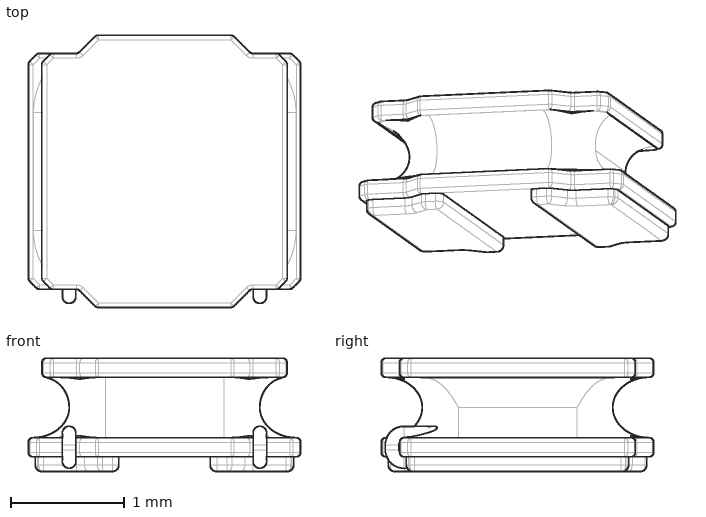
import cadquery as cq
import math

core_half = 1.2
top_half_x = 1.08
total_height = 1.0
flange_thickness = 0.17
pad_thickness = 0.13

shoulder_y = 1.04
tongue_half_x = 0.6
corner_chamfer = 0.082
flange_round = 0.04

neck_half = 0.84
neck_corner_center = 0.52
flare_width = 0.317
top_flare_width_x = 0.24

pad_inset = 0.06
pad_inner_x = 0.4
pad_round = 0.06

wire_diameter = 0.12
wire_x = 0.84
wire_leg_y = 1.105
wire_half_rise = 0.125
wire_bend = 0.1
wire_upper_end_y = 0.6
wire_lower_end_y = 0.912

notch_half_x = tongue_half_x + core_half - shoulder_y
bottom_flange_top = pad_thickness + flange_thickness
top_flange_bottom = total_height - flange_thickness
neck_middle = (bottom_flange_top + top_flange_bottom) / 2
flare_height = (top_flange_bottom - bottom_flange_top) / 2
flare_outer = neck_half + flare_width


def flange_outline(half_x, inset=0.0):
    """Corner points of a flange border, moved inward by `inset`."""
    slant_shift = inset * math.tan(math.radians(45 / 2))
    tongue_x = tongue_half_x - slant_shift
    notch_x = notch_half_x - slant_shift
    quarter = [
        (half_x - inset, shoulder_y - corner_chamfer - slant_shift),
        (half_x - corner_chamfer - slant_shift, shoulder_y - inset),
        (notch_x, shoulder_y - inset),
        (tongue_x, core_half - inset),
    ]
    back = quarter + [(-x, y) for x, y in reversed(quarter)]
    return back + [(-x, -y) for x, y in back]


def prism(points, bottom, height):
    """Upright block with the given corner points."""
    return cq.Workplane("XY").workplane(offset=bottom).polyline(points).close().extrude(height)


def flange(half_x, bottom):
    """Flange plate with all its edges rounded."""
    plate = prism(flange_outline(half_x), bottom, flange_thickness)
    return plate.edges().fillet(flange_round)


def neck_section(inner, outer):
    """Section of one side of the neck: a slab whose outer end is hollowed by a half ellipse."""
    return (
        cq.Workplane("XZ")
        .moveTo(inner, top_flange_bottom)
        .lineTo(outer, top_flange_bottom)
        .ellipseArc(flare_width, flare_height, 90, 270)
        .lineTo(inner, bottom_flange_top)
        .close()
    )


def flared_neck():
    """Rounded square waist that flares out toward both flanges on all sides."""
    side_length = 2 * neck_corner_center
    side = neck_section(neck_corner_center, flare_outer).extrude(side_length)
    side = side.translate((0, neck_corner_center, 0))
    corner_radius = flare_outer - neck_corner_center
    corner = (
        neck_section(0, corner_radius)
        .revolve(90, (0, 0), (0, 1))
        .translate((neck_corner_center, neck_corner_center, 0))
    )
    middle = cq.Workplane("XY").box(side_length, side_length, 2 * flare_height)
    neck = middle.translate((0, 0, neck_middle))
    for quarter_turn in range(4):
        angle = 90 * quarter_turn
        neck = neck.union(side.rotate((0, 0, 0), (0, 0, 1), angle))
        neck = neck.union(corner.rotate((0, 0, 0), (0, 0, 1), angle))
    return neck


def top_flare_limit():
    """Bar along Y above the neck middle, with the narrower flare on its two X sides."""
    top_reach = neck_half + top_flare_width_x
    return (
        cq.Workplane("XZ", origin=(0, core_half, 0))
        .moveTo(top_reach, top_flange_bottom)
        .ellipseArc(top_flare_width_x, flare_height, 90, 180)
        .lineTo(-neck_half, neck_middle)
        .ellipseArc(top_flare_width_x, flare_height, 0, 90)
        .close()
        .extrude(2 * core_half)
    )


def bare_core():
    """Both flanges and the neck, whose flare stays on the flat faces of the flanges."""
    lower_limit = prism(flange_outline(core_half, flange_round), bottom_flange_top, flare_height)
    upper_limit = prism(flange_outline(top_half_x, flange_round), neck_middle, flare_height)
    upper_limit = upper_limit.intersect(top_flare_limit())
    neck = flared_neck()
    lower_neck = neck.intersect(lower_limit)
    upper_neck = neck.intersect(upper_limit)
    lower_part = flange(core_half, pad_thickness).union(lower_neck)
    return lower_part.union(upper_neck).union(flange(top_half_x, top_flange_bottom))


def pad():
    """Solder pad under the +X half of the bottom flange, rounded everywhere but on top."""
    pad_half = cq.Workplane("XY").box(
        core_half, 2 * core_half, pad_thickness, centered=(False, True, False)
    ).translate((pad_inner_x, 0, 0))
    plate = prism(flange_outline(core_half, pad_inset), 0, pad_thickness).intersect(pad_half)

    hollow_corners = cq.selectors.AndSelector(
        cq.StringSyntaxSelector("|Z"),
        cq.selectors.BoxSelector(
            (tongue_half_x, -core_half, 0),
            (notch_half_x + pad_inset, core_half, pad_thickness),
        ),
    )
    plate = plate.edges(hollow_corners).fillet(flange_round + pad_inset)

    outer_edges = cq.selectors.SubtractSelector(cq.StringSyntaxSelector("not >Z"), hollow_corners)
    return plate.edges(outer_edges).fillet(pad_round)


def lead_wire():
    """Round wire at +X, bent in a U around the front edge of the bottom flange."""
    flange_middle = pad_thickness + flange_thickness / 2
    upper = flange_middle + wire_half_rise
    lower = flange_middle - wire_half_rise
    bend_y = -wire_leg_y + wire_bend
    diagonal = wire_bend * math.sqrt(0.5)
    path = (
        cq.Workplane("YZ", origin=(wire_x, 0, 0))
        .moveTo(-wire_upper_end_y, upper)
        .lineTo(bend_y, upper)
        .threePointArc((bend_y - diagonal, upper - wire_bend + diagonal), (-wire_leg_y, upper - wire_bend))
        .lineTo(-wire_leg_y, lower + wire_bend)
        .threePointArc((bend_y - diagonal, lower + wire_bend - diagonal), (bend_y, lower))
        .lineTo(-wire_lower_end_y, lower)
    )
    return (
        cq.Workplane("XZ", origin=(wire_x, -wire_upper_end_y, upper))
        .circle(wire_diameter / 2)
        .sweep(path)
    )


right_terminal = pad().union(lead_wire())
terminals = [right_terminal, right_terminal.mirror("YZ")]

core = bare_core()
for terminal in terminals:
    core = core.cut(terminal)

result = cq.Compound.makeCompound(
    [core.solids().val(), *[terminal.solids().val() for terminal in terminals]]
)